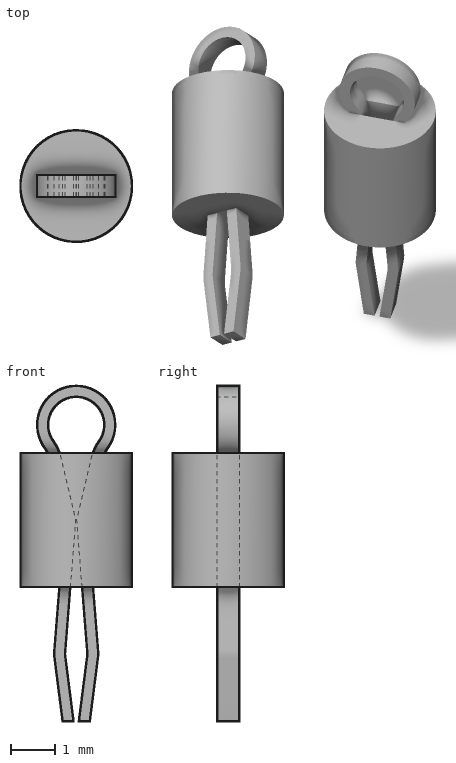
import cadquery as cq
import math

body_diameter = 2.54
body_height = 3.048

strip_thickness = 0.254
strip_width = 0.508

loop_height = 1.524
loop_inner_radius = 0.635
loop_end_angle = math.radians(36)
loop_center_z = body_height + loop_height - loop_inner_radius - strip_thickness
neck_inner_radius = 1.016
neck_center_distance = loop_inner_radius + neck_inner_radius
neck_center_x = neck_center_distance * math.cos(loop_end_angle)
neck_center_z = loop_center_z - neck_center_distance * math.sin(loop_end_angle)

waist_z = body_height / 2
waist_half_gap = 0.01

waist_to_neck_x = neck_center_x - waist_half_gap
waist_to_neck_z = neck_center_z - waist_z
strand_lean = math.atan2(waist_to_neck_x, waist_to_neck_z) - math.asin(
    neck_inner_radius / math.hypot(waist_to_neck_x, waist_to_neck_z)
)

leg_length = 3.048
knee_z = -leg_length / 2
knee_half_gap = 0.252
knee_inner_radius = 0.381
tip_half_gap = 0.057


def neck_point(radius, angle):
    """Point on the +X neck bend, at an angle above the horizontal through its center."""
    return (
        neck_center_x - radius * math.cos(angle),
        neck_center_z + radius * math.sin(angle),
    )


def mirrored(point):
    return (-point[0], point[1])


def upper_prism(offset):
    """Solid bounded by the inner strip face, moved outward by offset, above the waist."""
    neck_radius = neck_inner_radius - offset
    waist = (waist_half_gap + offset, waist_z)
    neck_start = neck_point(neck_radius, strand_lean)
    neck_middle = neck_point(neck_radius, (strand_lean + loop_end_angle) / 2)
    neck_end = neck_point(neck_radius, loop_end_angle)
    loop_top = (0, loop_center_z + loop_inner_radius + offset)
    return (
        cq.Workplane("XZ")
        .moveTo(*waist)
        .lineTo(*neck_start)
        .threePointArc(neck_middle, neck_end)
        .threePointArc(loop_top, mirrored(neck_end))
        .threePointArc(mirrored(neck_middle), mirrored(neck_start))
        .lineTo(*mirrored(waist))
        .close()
        .extrude(strip_width / 2, both=True)
    )


def lower_prism(offset):
    """Solid bounded by the inner strip face, moved outward by offset, below the waist."""
    knee_x = knee_half_gap + offset
    right_side = [
        (waist_half_gap + offset, waist_z),
        (knee_x, knee_z),
        (tip_half_gap + offset, -leg_length),
    ]
    left_side = [mirrored(point) for point in reversed(right_side)]
    prism = (
        cq.Workplane("XZ")
        .polyline(right_side + left_side)
        .close()
        .extrude(strip_width / 2, both=True)
    )
    for x in (-knee_x, knee_x):
        knee_edge = cq.NearestToPointSelector((x, 0, knee_z))
        prism = prism.edges("|Y").edges(knee_edge).fillet(knee_inner_radius + offset)
    return prism


def clip_prism(offset):
    return upper_prism(offset).union(lower_prism(offset))


body = cq.Workplane("XY").circle(body_diameter / 2).extrude(body_height)
strip_envelope = clip_prism(strip_thickness)
strip_opening = clip_prism(0)
result = body.union(strip_envelope).cut(strip_opening)